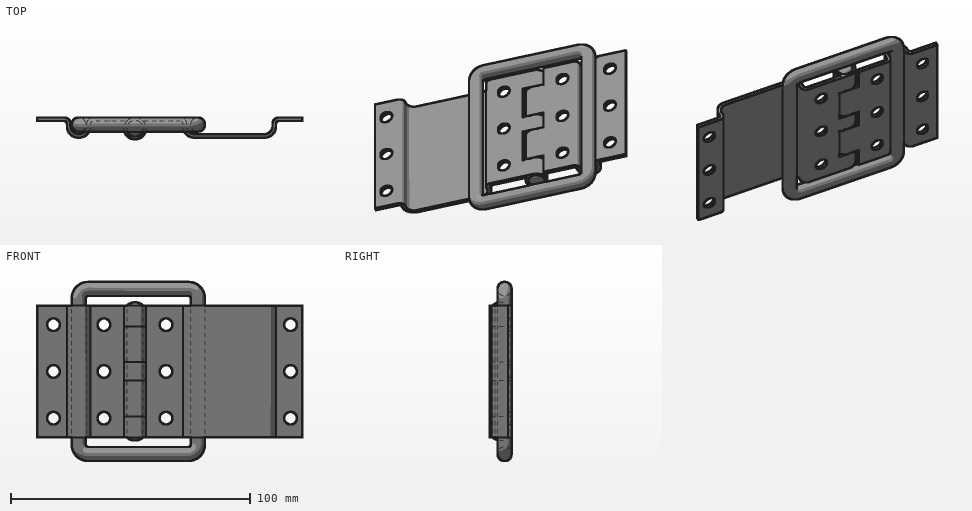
import cadquery as cq
import math


TOTAL_WIDTH = 111.0
LEFT_LEAF_WIDTH = 41.0
RIGHT_LEAF_WIDTH = TOTAL_WIDTH - LEFT_LEAF_WIDTH
LEAF_HEIGHT = 55.1
SHEET = 1.5

KNUCKLE_DIAMETER = 9.2
KNUCKLE_RADIUS = KNUCKLE_DIAMETER / 2
BARREL_Y = -KNUCKLE_RADIUS
END_KNUCKLE = 8.7
MIDDLE_KNUCKLE = 7.8
LEFT_KNUCKLE = (LEAF_HEIGHT - 2 * END_KNUCKLE - MIDDLE_KNUCKLE) / 2
LEFT_KNUCKLE_SPANS = [
    (-MIDDLE_KNUCKLE / 2 - LEFT_KNUCKLE, -MIDDLE_KNUCKLE / 2),
    (MIDDLE_KNUCKLE / 2, MIDDLE_KNUCKLE / 2 + LEFT_KNUCKLE),
]
RIGHT_KNUCKLE_SPANS = [
    (-LEAF_HEIGHT / 2, -LEAF_HEIGHT / 2 + END_KNUCKLE),
    (-MIDDLE_KNUCKLE / 2, MIDDLE_KNUCKLE / 2),
    (LEAF_HEIGHT / 2 - END_KNUCKLE, LEAF_HEIGHT / 2),
]

PIN_RADIUS = 3.4
PIN_DOME = 1.4

WIRE_RADIUS = 3.0
WIRE_BEND = 4.0
RING_HEIGHT = 75.0
RING_LEG_SPACING = 49.8

CHANNEL_OUTER = 5.0
CHANNEL_INNER = CHANNEL_OUTER - SHEET
CHANNEL_DEPTH = 8.5
CHANNEL_Y = CHANNEL_OUTER - CHANNEL_DEPTH
LIP_INNER = 1.0
LIP_OUTER = LIP_INNER + SHEET
LEFT_CHANNEL_X = -23.5
RIGHT_CHANNEL_START_X = 25.0
RIGHT_CHANNEL_END_X = 54.1

HOLE_DIAMETER = 5.2
HOLE_PITCH = 19.5
HOLE_ROWS = (-1, 0, 1)
LEFT_HOLE_OFFSET = 10.5
LEFT_HOLE_XS = [LEFT_CHANNEL_X - LEFT_HOLE_OFFSET, LEFT_CHANNEL_X + LEFT_HOLE_OFFSET]
RIGHT_HOLE_XS = [13.0, 65.0]


def block(x_start, x_end, y_start, y_end, z_start, z_end):
    """Box between the given limits."""
    size = (x_end - x_start, y_end - y_start, z_end - z_start)
    return cq.Workplane("XY").box(*size, centered=False).translate((x_start, y_start, z_start))


def upright_cylinder(radius, z_start, z_end):
    """Cylinder on the hinge axis."""
    return cq.Workplane("XY", origin=(0, BARREL_Y, z_start)).circle(radius).extrude(z_end - z_start)


def channel_bulge(start_x, end_x, radius, lip_radius, base_y):
    """Full-height bulge below base_y, with flared lips and rounded bottom corners.

    start_x and end_x are the centres of the two rounded corners.
    """
    left_wall = start_x - radius
    right_wall = end_x + radius
    lip_y = base_y - lip_radius
    bottom_y = CHANNEL_Y - radius
    outline = (
        cq.Workplane("XY", origin=(0, 0, -LEAF_HEIGHT / 2))
        .moveTo(left_wall - lip_radius, base_y)
        .radiusArc((left_wall, lip_y), lip_radius)
        .lineTo(left_wall, CHANNEL_Y)
        .radiusArc((start_x, bottom_y), -radius)
    )
    if end_x > start_x:
        outline = outline.lineTo(end_x, bottom_y)
    outline = (
        outline.radiusArc((right_wall, CHANNEL_Y), -radius)
        .lineTo(right_wall, lip_y)
        .radiusArc((right_wall + lip_radius, base_y), lip_radius)
        .close()
    )
    return outline.extrude(LEAF_HEIGHT)


def screw_holes(hole_xs):
    """Cutters for a column of three screw holes at each X."""
    centres = [(x, row * HOLE_PITCH) for x in hole_xs for row in HOLE_ROWS]
    return cq.Workplane("XZ").pushPoints(centres).circle(HOLE_DIAMETER / 2).extrude(SHEET)


def make_leaf(x_start, x_end, channel_start, channel_end, hole_xs, knuckles, other_knuckles):
    """Sheet leaf with its channel, screw holes and rolled knuckles around the pin."""
    leaf = block(x_start, x_end, -SHEET, 0, -LEAF_HEIGHT / 2, LEAF_HEIGHT / 2)
    leaf = leaf.union(channel_bulge(channel_start, channel_end, CHANNEL_OUTER, LIP_INNER, -SHEET))
    leaf = leaf.cut(channel_bulge(channel_start, channel_end, CHANNEL_INNER, LIP_OUTER, 0))
    leaf = leaf.cut(screw_holes(hole_xs))
    for bottom, top in other_knuckles:
        leaf = leaf.cut(block(-KNUCKLE_RADIUS, KNUCKLE_RADIUS, -SHEET, 0, bottom, top))
    for bottom, top in knuckles:
        leaf = leaf.union(upright_cylinder(KNUCKLE_RADIUS, bottom, top))
    return leaf.cut(upright_cylinder(PIN_RADIUS, -LEAF_HEIGHT / 2, LEAF_HEIGHT / 2))


def make_pin():
    """Hinge pin with a shallow dome standing out of the barrel at each end."""
    end_z = LEAF_HEIGHT / 2
    tip_z = end_z + PIN_DOME
    dome_radius = (PIN_RADIUS**2 + PIN_DOME**2) / (2 * PIN_DOME)
    half_profile = (
        cq.Workplane("XZ", origin=(0, BARREL_Y, 0))
        .moveTo(0, -tip_z)
        .radiusArc((PIN_RADIUS, -end_z), -dome_radius)
        .lineTo(PIN_RADIUS, end_z)
        .radiusArc((0, tip_z), -dome_radius)
        .close()
    )
    return half_profile.revolve(360, (0, 0, 0), (0, 1, 0))


def make_ring():
    """Rectangular wire ring with rounded corners, its back resting on the mounting plane."""
    left = LEFT_CHANNEL_X
    right = left + RING_LEG_SPACING
    top = RING_HEIGHT / 2 - WIRE_RADIUS
    mid_bend = WIRE_BEND * (1 - math.sqrt(0.5))
    path = (
        cq.Workplane("XZ", origin=(0, -WIRE_RADIUS, 0))
        .moveTo(left, 0)
        .lineTo(left, top - WIRE_BEND)
        .threePointArc((left + mid_bend, top - mid_bend), (left + WIRE_BEND, top))
        .lineTo(right - WIRE_BEND, top)
        .threePointArc((right - mid_bend, top - mid_bend), (right, top - WIRE_BEND))
        .lineTo(right, 0)
    )
    section = cq.Workplane("XY", origin=(left, -WIRE_RADIUS, 0)).circle(WIRE_RADIUS)
    upper_half = section.sweep(path)
    return upper_half.union(upper_half.mirror("XY"))


left_leaf = make_leaf(
    -LEFT_LEAF_WIDTH, 0, LEFT_CHANNEL_X, LEFT_CHANNEL_X,
    LEFT_HOLE_XS, LEFT_KNUCKLE_SPANS, RIGHT_KNUCKLE_SPANS,
)
right_leaf = make_leaf(
    0, RIGHT_LEAF_WIDTH, RIGHT_CHANNEL_START_X, RIGHT_CHANNEL_END_X,
    RIGHT_HOLE_XS, RIGHT_KNUCKLE_SPANS, LEFT_KNUCKLE_SPANS,
)
pin = make_pin()
ring = make_ring()

result = cq.Compound.makeCompound([
    left_leaf.solids().val(),
    right_leaf.solids().val(),
    pin.val(),
    ring.solids().val(),
])